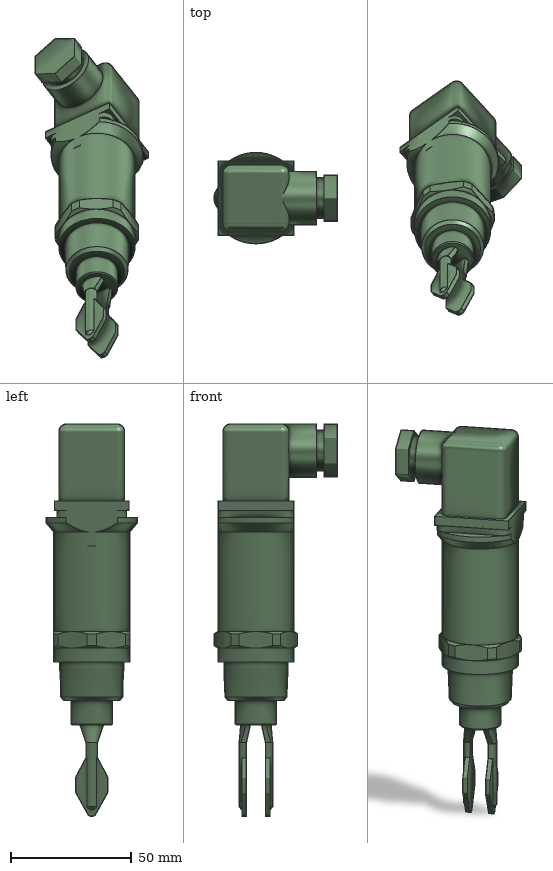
import cadquery as cq
import math

total_height = 162.9
overall_length = 51.2

neck_bottom = 38.0
thread_bottom = 48.0
thread_full = 49.5
thread_taper_top = 61.5
collar_bottom = 64.0
hex_bottom = 69.9
hex_top = 76.7
flat_bottom = 112.2
cone_bottom = 118.1
flange_bottom = 121.8
slot_bottom = 124.1
plate_bottom = 127.0
plate_top = 131.0

neck_radius = 8.6
neck_chamfer = 0.5
thread_tip_radius = 11.5
thread_low_radius = 12.9
thread_radius = 13.4
tube_radius = 15.8
flange_diameter = 38.0
flange_radius = flange_diameter / 2

hex_across_flats = 31.8
hex_corner_diameter = 34.7
hex_corner_radius = hex_corner_diameter / 2
hex_face_radius = hex_across_flats / 2
hex_chamfer_height = 1.0

plate_length = 31.5
plate_width = 31.0
locating_block_width = 29.0
locating_block_fillet = 3.9
housing_side = 27.4
housing_fillet = 3.3
gland_radius = 11.0
gland_end = 25.1
gland_neck_radius = 8.5
nut_start = 28.3
nut_end = overall_length - hex_corner_radius
nut_edge_fillet = 0.7
nut_corner_radius = 11.0
gland_height = total_height - gland_radius

prong_inner = 3.9
prong_outer = 7.0
rod_radius = 2.5
rod_axis = prong_outer - rod_radius
rod_top = 30.6
rod_end = 4.0
rod_point = 1.0
root_inner = 2.3
root_arc_start = 4.2
root_outer = 6.4
root_low_arc_start = 6.2
root_half_width = 4.9
paddle_outer = 5.9
paddle_top = 24.3
paddle_upper_corner = 16.3
paddle_lower_corner = 10.0
paddle_half_width = 6.7
paddle_corner_fillet = 2.0
tip_half_width = 1.5
tip_height = 0.5


def revolve_profile(points):
    """Turn (radius, z) points about the Z axis."""
    return cq.Workplane("XZ").polyline(points).close().revolve(360, (0, 0, 0), (0, 1, 0))


def block(x_size, y_size, z_low, z_high):
    """Box centred on the Z axis between two heights."""
    return cq.Workplane("XY").workplane(offset=z_low).rect(x_size, y_size).extrude(z_high - z_low)


def make_body():
    """Turned threaded end, tube and flange, flattened on X and topped by a locating block."""
    body = revolve_profile([
        (0, neck_bottom),
        (neck_radius - neck_chamfer, neck_bottom),
        (neck_radius, neck_bottom + neck_chamfer),
        (neck_radius, thread_bottom),
        (thread_tip_radius, thread_bottom),
        (thread_low_radius, thread_full),
        (thread_radius, thread_taper_top),
        (thread_radius, collar_bottom),
        (tube_radius, collar_bottom),
        (tube_radius, cone_bottom),
        (flange_radius, flange_bottom),
        (flange_radius, slot_bottom),
        (0, slot_bottom),
    ])
    locating_block = (block(plate_length, locating_block_width, slot_bottom, plate_bottom)
                      .edges("|Z").fillet(locating_block_fillet))
    over = 2 * flange_diameter
    flats = block(over, over, flat_bottom, slot_bottom).cut(
        block(plate_length, over, flat_bottom, slot_bottom))
    return body.cut(flats).union(locating_block)


def make_hexagon():
    """Wrench hexagon with turned corners and chamfered rims."""
    sharp_diameter = hex_across_flats / math.cos(math.pi / 6)
    prism = (cq.Workplane("XY").workplane(offset=hex_bottom)
             .polygon(6, sharp_diameter).extrude(hex_top - hex_bottom))
    turned = revolve_profile([
        (0, hex_bottom),
        (hex_face_radius, hex_bottom),
        (hex_corner_radius, hex_bottom + hex_chamfer_height),
        (hex_corner_radius, hex_top - hex_chamfer_height),
        (hex_face_radius, hex_top),
        (0, hex_top),
    ])
    return prism.intersect(turned)


def make_connector():
    """Base plate and rounded housing."""
    plate = block(plate_length, plate_width, plate_bottom, plate_top)
    housing = block(housing_side, housing_side, plate_top, total_height)
    housing = housing.edges("|Z or >Z").fillet(housing_fillet)
    return plate.union(housing)


def make_gland():
    """Cable gland along +X: barrel, neck and hexagon nut with a corner on top."""
    axis = cq.Workplane("YZ", origin=(0, 0, gland_height))
    barrel = axis.circle(gland_radius).extrude(gland_end)
    neck = axis.circle(gland_neck_radius).extrude(nut_start)
    nut = (axis.workplane(offset=nut_start).transformed(rotate=(0, 0, 90))
           .polygon(6, 2 * nut_corner_radius).extrude(nut_end - nut_start)
           .edges("|X").fillet(nut_edge_fillet))
    return barrel.union(neck).union(nut)


def d_section(plane, inner, arc_start, outer, half_width):
    """Flat-backed section: straight sides closed by an arc on the outside."""
    return (plane.moveTo(inner, -half_width)
            .lineTo(arc_start, -half_width)
            .threePointArc((outer, 0), (arc_start, half_width))
            .lineTo(inner, half_width)
            .close())


def make_paddle():
    """Thin pointed blade of a prong."""
    blade = (cq.Workplane("YZ").workplane(offset=prong_inner)
             .moveTo(rod_radius, paddle_top)
             .lineTo(paddle_half_width, paddle_upper_corner)
             .lineTo(paddle_half_width, paddle_lower_corner)
             .lineTo(tip_half_width, tip_height)
             .threePointArc((0, 0), (-tip_half_width, tip_height))
             .lineTo(-paddle_half_width, paddle_lower_corner)
             .lineTo(-paddle_half_width, paddle_upper_corner)
             .lineTo(-rod_radius, paddle_top)
             .close()
             .extrude(paddle_outer - prong_inner))
    return blade.edges("|X and (>Y or <Y)").fillet(paddle_corner_fillet)


def make_rod():
    """Round pointed rod with its inner side cut flat."""
    rod = revolve_profile([
        (0, rod_point),
        (rod_radius, rod_end),
        (rod_radius, rod_top),
        (0, rod_top),
    ]).translate((rod_axis, 0, 0))
    inner_side = block(2 * prong_inner, 2 * prong_inner, 0, rod_top)
    return rod.cut(inner_side)


def make_root():
    """Flared transition from the rod to the neck."""
    lower = d_section(cq.Workplane("XY").workplane(offset=rod_top),
                      prong_inner, root_low_arc_start, prong_outer, rod_radius)
    upper = d_section(lower.workplane(offset=neck_bottom - rod_top),
                      root_inner, root_arc_start, root_outer, root_half_width)
    return upper.loft(ruled=True)


prong = make_rod().union(make_root()).union(make_paddle())
result = (make_body()
          .union(make_hexagon())
          .union(make_connector())
          .union(make_gland())
          .union(prong)
          .union(prong.mirror("YZ")))